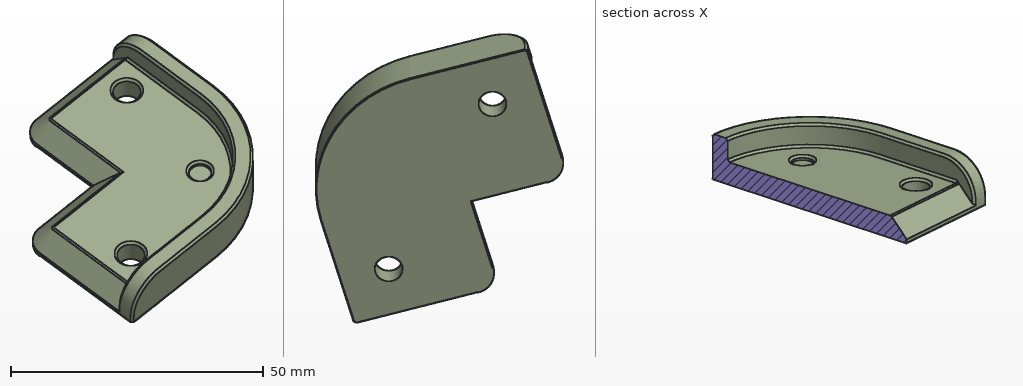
import cadquery as cq

size = 50.0
height = 10.0
notch = 20.0
floor_height = 5.0
outer_radius = 25.85
leg_corner_radius = 4.5

rim_width = 4.0
rim_end_radius = 8.0
rim_chamfer = 0.5
root_chamfer = 0.5

slope_width = 4.0
slope_break = 0.25
bottom_chamfer = 0.2

through_diameter = 5.5
blind_diameter = 4.5
blind_depth = 1.0
hole_chamfer = 0.5
through_points = [(10.0, 40.0), (40.0, 10.0)]
blind_point = (35.0, 35.0)

overlap = 0.5


def rounded_square(inset, depth):
    """Square prism with one large rounded corner, drawn in on the two rimmed sides."""
    side = size - inset
    return (
        cq.Workplane("XY")
        .rect(side, side, centered=False)
        .extrude(depth)
        .edges("|Z and >X and >Y")
        .fillet(outer_radius - inset)
    )


def make_plate():
    """L-shaped floor with sloped free edges and rounded leg corners."""
    notch_block = cq.Workplane("XY").rect(notch, notch, centered=False).extrude(floor_height)
    plate = rounded_square(0, floor_height).cut(notch_block)
    plate = plate.edges("|Z and ((<X and >Y) or (>X and <Y))").chamfer(rim_chamfer)
    for x, y in [(0, notch), (notch, 0)]:
        corner = cq.selectors.NearestToPointSelector((x, y, floor_height / 2))
        plate = plate.edges(corner).fillet(leg_corner_radius)
    free_edge_limit = size - notch
    free_edges = cq.selectors.BoxSelector(
        (-overlap, -overlap, floor_height - overlap),
        (free_edge_limit, free_edge_limit, floor_height + overlap),
    )
    plate = plate.faces(">Z").edges(free_edges).chamfer(slope_width)
    return plate.faces(">Z").edges(free_edges).chamfer(slope_break)


def make_rim():
    """Raised wall along the two outer sides, with both ends rounded over."""
    rim = rounded_square(0, height).cut(rounded_square(rim_width, height))
    rim = rim.faces(">Z").edges("<X or <Y").fillet(rim_end_radius)
    return rim.faces(">Z").edges("not(<X or <Y)").chamfer(rim_chamfer)


def make_root_strip():
    """Chamfer strip at the foot of the rim, its ends continuing the edge slopes."""
    strip_top = floor_height + root_chamfer
    opening = rounded_square(rim_width, strip_top)
    floor_rim = opening.faces(">Z").edges(">X or >Y or %CIRCLE")
    strip = opening.cut(floor_rim.chamfer(root_chamfer))
    middle = floor_height + root_chamfer / 2
    strip = strip.mirror("XY", (0, 0, middle))
    slope_side = [(slope_width, floor_height), (size, floor_height)]
    slope_side += [(size, strip_top), (slope_width + root_chamfer, strip_top)]
    along_x = cq.Workplane("XZ").polyline(slope_side).close().extrude(-size)
    along_y = cq.Workplane("YZ").polyline(slope_side).close().extrude(size)
    return strip.intersect(along_x).intersect(along_y)


def drill(body, point, diameter, depth):
    """Round hole from the floor with a chamfered mouth."""
    radius = diameter / 2
    profile = [
        (0, overlap),
        (radius + hole_chamfer + overlap, overlap),
        (radius, -hole_chamfer),
        (radius, -depth),
        (0, -depth),
    ]
    tool = (
        cq.Workplane("XZ")
        .polyline(profile)
        .close()
        .revolve(360, (0, 0), (0, 1))
        .translate((*point, floor_height))
    )
    return body.cut(tool)


def break_bottom_edge(body):
    """Bevel the bottom outline, keeping it sharp around the two rounded leg corners."""
    outline = cq.selectors.LengthNthSelector(-1)
    body = body.faces("<Z").wires(outline).chamfer(bottom_chamfer)
    for x, y in [(0, notch), (notch, 0)]:
        corner_fill = (
            cq.Workplane("XY", origin=(x, y, 0))
            .moveTo(0, leg_corner_radius)
            .radiusArc((leg_corner_radius, 0), -leg_corner_radius)
            .lineTo(leg_corner_radius, leg_corner_radius)
            .close()
            .extrude(bottom_chamfer)
        )
        body = body.union(corner_fill)
    return body


result = break_bottom_edge(make_plate().union(make_rim()))
result = result.union(make_root_strip())
for hole_point in through_points:
    result = drill(result, hole_point, through_diameter, floor_height + overlap)
result = drill(result, blind_point, blind_diameter, blind_depth)